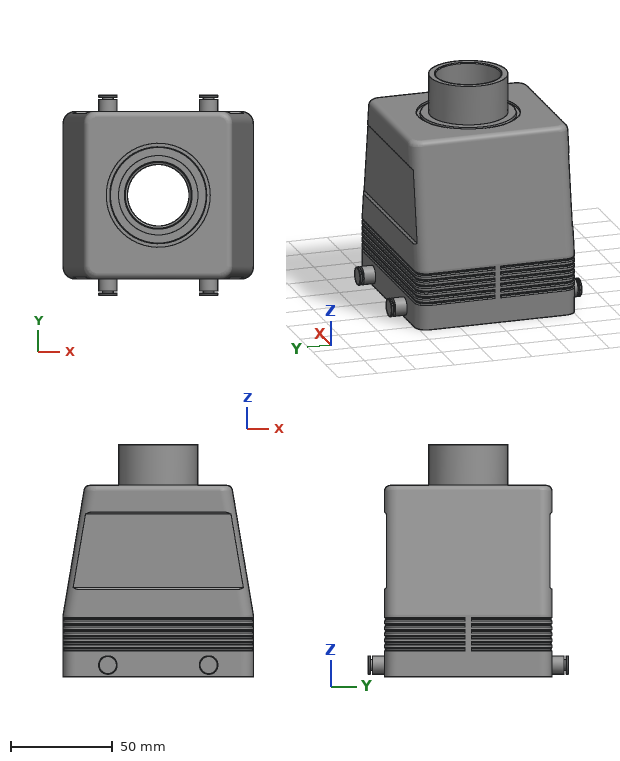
import cadquery as cq

TOTAL_HEIGHT = 114.0
BASE_LENGTH = 93.5
BODY_WIDTH = 82.3
BODY_HEIGHT = 94.0
SKIRT_HEIGHT = 30.3
TOP_LENGTH = 72.0
CORNER_RADIUS = 6.0
TOP_RADIUS = 3.0
BEND_RADIUS = 2.0

RECESS_DEPTH = 1.0
RECESS_BOTTOM = 42.9
RECESS_TOP = 80.9

GROOVE_COUNT = 6
GROOVE_PITCH = 3.0
LOWEST_GROOVE = 13.6
GROOVE_OPENING = 1.7
GROOVE_FLOOR = 0.6
GROOVE_DEPTH = (GROOVE_OPENING - GROOVE_FLOOR) / 2
RIB_WIDTH = 3.0

COLLAR_RADIUS = 19.5
COLLAR_BORE_RADIUS = 16.2
THROUGH_RADIUS = 15.0
RIM_CHAMFER = 0.5
BORE_LEDGE_DEPTH = 17.8

RING_OUTER_RADIUS = 25.5
RING_FLOOR_RADIUS = 23.8
RING_INNER_RADIUS = 23.5
RING_DEPTH = 1.0

PIN_OVERALL = 98.5
PIN_SPACING = 49.5
PIN_HEIGHT = 5.8
PIN_RADIUS = 4.6
PIN_HEAD = 1.4
PIN_HEAD_CHAMFER = 0.3
PIN_NECK_LENGTH = 0.8
PIN_NECK_RADIUS = 2.7


def make_body():
    """Straight skirt with leaning X sides above it, all corners rounded."""
    half_base = BASE_LENGTH / 2
    half_top = TOP_LENGTH / 2
    body = (
        cq.Workplane("XZ")
        .polyline([
            (-half_base, 0),
            (half_base, 0),
            (half_base, SKIRT_HEIGHT),
            (half_top, BODY_HEIGHT),
            (-half_top, BODY_HEIGHT),
            (-half_base, SKIRT_HEIGHT),
        ])
        .close()
        .extrude(BODY_WIDTH / 2, both=True)
    )
    bend_zone = cq.selectors.BoxSelector(
        (-BASE_LENGTH, -BODY_WIDTH, SKIRT_HEIGHT - BEND_RADIUS),
        (BASE_LENGTH, BODY_WIDTH, SKIRT_HEIGHT + BEND_RADIUS),
    )
    body = body.edges(bend_zone).fillet(BEND_RADIUS)
    body = body.edges("|Z").fillet(CORNER_RADIUS)
    return body.faces(">Z").edges().fillet(TOP_RADIUS)


def make_recess(side):
    """Cutter for the panel on one Y side, with 45 degree ends."""
    face = side * BODY_WIDTH / 2
    floor = side * (BODY_WIDTH / 2 - RECESS_DEPTH)
    return (
        cq.Workplane("YZ")
        .polyline([
            (face, RECESS_BOTTOM),
            (floor, RECESS_BOTTOM + RECESS_DEPTH),
            (floor, RECESS_TOP - RECESS_DEPTH),
            (face, RECESS_TOP),
        ])
        .close()
        .extrude(BASE_LENGTH / 2, both=True)
    )


def rounded_block(inset, bottom, height, taper=0):
    """Block with the skirt outline, moved inward by inset."""
    return (
        cq.Workplane("XY")
        .workplane(offset=bottom)
        .sketch()
        .rect(BASE_LENGTH - 2 * inset, BODY_WIDTH - 2 * inset)
        .vertices()
        .fillet(CORNER_RADIUS - inset)
        .finalize()
        .extrude(height, taper=taper)
    )


def make_groove(centre):
    """Cutter for one groove around the skirt: flat floor, 45 degree walls."""
    bottom = centre - GROOVE_OPENING / 2
    floor_bottom = centre - GROOVE_FLOOR / 2
    floor_top = centre + GROOVE_FLOOR / 2
    core = (
        rounded_block(0, bottom, GROOVE_DEPTH, taper=45)
        .union(rounded_block(GROOVE_DEPTH, floor_bottom, GROOVE_FLOOR))
        .union(rounded_block(GROOVE_DEPTH, floor_top, GROOVE_DEPTH, taper=-45))
    )
    ribs = cq.Workplane("XY").box(BASE_LENGTH, RIB_WIDTH, SKIRT_HEIGHT * 2)
    slab = rounded_block(0, bottom, GROOVE_OPENING)
    return slab.cut(core).cut(ribs)


def make_collar():
    """Solid cylinder on the flat top; the bore is cut later."""
    return (
        cq.Workplane("XY")
        .workplane(offset=BODY_HEIGHT)
        .circle(COLLAR_RADIUS)
        .extrude(TOTAL_HEIGHT - BODY_HEIGHT)
    )


def make_bore():
    """Cutter for the chamfered collar bore, its coved ledge and the through hole."""
    ledge = TOTAL_HEIGHT - BORE_LEDGE_DEPTH
    cove_radius = COLLAR_BORE_RADIUS - THROUGH_RADIUS
    return (
        cq.Workplane("XZ")
        .polyline([
            (0, 0),
            (THROUGH_RADIUS, 0),
            (THROUGH_RADIUS, ledge),
        ])
        .radiusArc((COLLAR_BORE_RADIUS, ledge + cove_radius), -cove_radius)
        .polyline([
            (COLLAR_BORE_RADIUS, TOTAL_HEIGHT - RIM_CHAMFER),
            (COLLAR_BORE_RADIUS + RIM_CHAMFER, TOTAL_HEIGHT),
            (0, TOTAL_HEIGHT),
        ], includeCurrent=True)
        .close()
        .revolve(360, (0, 0), (0, 1))
    )


def make_ring():
    """Cutter for the annular groove, with a slightly leaning inner wall."""
    floor = BODY_HEIGHT - RING_DEPTH
    return (
        cq.Workplane("XZ")
        .polyline([
            (RING_INNER_RADIUS, BODY_HEIGHT),
            (RING_FLOOR_RADIUS, floor),
            (RING_OUTER_RADIUS, floor),
            (RING_OUTER_RADIUS, BODY_HEIGHT),
        ])
        .close()
        .revolve(360, (0, 0), (0, 1))
    )


def make_pin_pair(x):
    """Round bar across the body whose two ends form necked, chamfered pins."""
    end = PIN_OVERALL / 2
    head = end - PIN_HEAD
    shank = head - PIN_NECK_LENGTH
    chamfer_radius = PIN_RADIUS - PIN_HEAD_CHAMFER
    half = (
        cq.Workplane("XY")
        .polyline([
            (0, 0),
            (PIN_RADIUS, 0),
            (PIN_RADIUS, shank),
            (PIN_NECK_RADIUS, shank),
            (PIN_NECK_RADIUS, head),
            (chamfer_radius, head),
            (PIN_RADIUS, head + PIN_HEAD_CHAMFER),
            (PIN_RADIUS, end - PIN_HEAD_CHAMFER),
            (chamfer_radius, end),
            (0, end),
        ])
        .close()
        .revolve(360, (0, 0), (0, 1))
    )
    return half.union(half.mirror("XZ")).translate((x, 0, PIN_HEIGHT))


result = make_body()
for side in (-1, 1):
    result = result.cut(make_recess(side))
for index in range(GROOVE_COUNT):
    result = result.cut(make_groove(LOWEST_GROOVE + index * GROOVE_PITCH))
for side in (-1, 1):
    result = result.union(make_pin_pair(side * PIN_SPACING / 2))
result = result.cut(make_ring()).union(make_collar()).cut(make_bore())